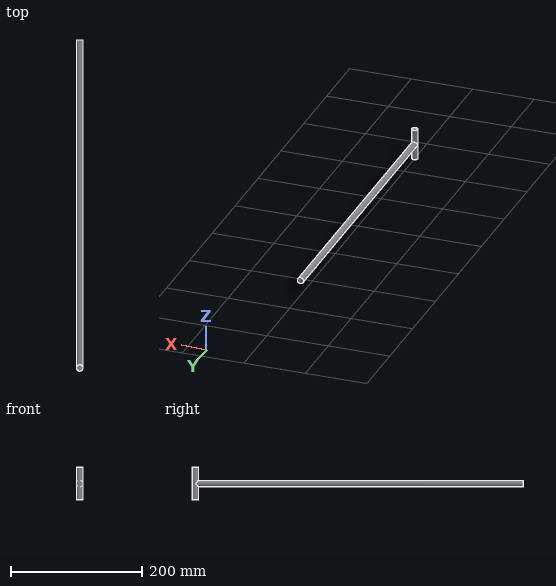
import cadquery as cq

overall_length = 505.0
rod_diameter = 10.0
crossbar_height = 50.0

rod_radius = rod_diameter / 2
rod_length = overall_length - rod_radius


def make_crossbar():
    """Upright round bar centred on the origin."""
    return cq.Workplane("XY").circle(rod_radius).extrude(crossbar_height / 2, both=True)


def make_rod():
    """Long round rod running along +Y from the crossbar axis."""
    return cq.Workplane("XZ").circle(rod_radius).extrude(-rod_length)


result = make_crossbar().union(make_rod())